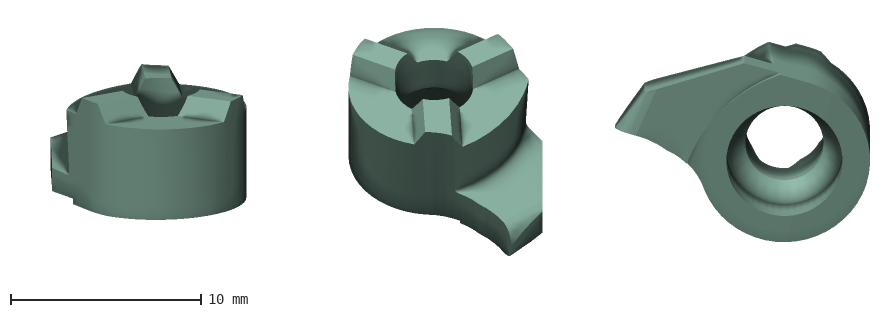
import cadquery as cq
import math

overall_length = 13.5
hub_diameter = 9.0
hub_radius = hub_diameter / 2
bore_radius = 2.05
recess_radius = 3.05
recess_depth = 2.0
seat_height = recess_radius - bore_radius
shoulder_z = 5.0
tooth_height = 1.0
crown_z = shoulder_z + tooth_height

tooth_count = 3
first_tooth_angle = 30
tooth_base_width = 2.52
tooth_top_width = 1.39

relief_start_x = 1.35
relief_rise = 0.08

flat_end_x = -3.52
tip_heel = (-8.11, -1.54)
tip_point = (hub_radius - overall_length, 0.97)
rake_mid = (-7.38, 0.84)
rake_end = (-6.13, 1.13)
neck_mid = (-4.75, 1.63)
neck_angle = 142

arm_center_z = 0.89
arm_back_y = 1.89
arm_front_y = -4.65
back_nose_radius = 1.16
front_nose_radius = 0.72
back_nose_x = -8.03
front_nose_x = -7.22
flank_taper = 0.025

wall_lean = 4.0
upper_wall = [(-4.65, 0.68), (-3.62, -2.5), (-1.65, -4.65)]
wall_straight_y = 5.4
lower_wall = [(-4.9, 1.75), (-3.95, -1.75), (-1.57, -4.51)]
wall_fillet = 0.16
foot_box_low = (-4.86, -2.7, arm_center_z)
foot_box_high = (-2.7, 0, 2.16)

split_x = rake_end[0]

clearance = 13.5


def plan_outline(height):
    """Prism of the complete plan shape, standing on z = 0."""
    angle = math.radians(neck_angle)
    neck_start = (hub_radius * math.cos(angle), hub_radius * math.sin(angle))
    return (
        cq.Workplane("XY")
        .moveTo(*tip_point)
        .lineTo(*tip_heel)
        .lineTo(flat_end_x, -hub_radius)
        .lineTo(0, -hub_radius)
        .threePointArc((hub_radius, 0), neck_start)
        .threePointArc(neck_mid, rake_end)
        .threePointArc(rake_mid, tip_point)
        .close()
        .extrude(height)
    )


def region_left_of_wall(wall, plane):
    """Tall prism on the -X side of a curved wall, built upward from a plane."""
    start, middle, end = wall
    return (
        cq.Workplane(plane)
        .moveTo(-clearance, wall_straight_y)
        .lineTo(start[0], wall_straight_y)
        .lineTo(*start)
        .threePointArc(middle, end)
        .lineTo(end[0], -clearance)
        .lineTo(-clearance, -clearance)
        .close()
        .extrude(clearance)
    )


def upper_clearance():
    """Space above the arm, leaning with the wall that bounds it."""
    lean = math.radians(wall_lean)
    plane = cq.Plane(
        origin=(0, 0, arm_center_z), xDir=(1, 0, 0), normal=(0, -math.sin(lean), math.cos(lean))
    )
    return region_left_of_wall(upper_wall, plane)


def lower_clearance():
    """Space below the arm, bounded by an upright wall."""
    plane = cq.Plane(origin=(0, 0, arm_center_z - clearance), xDir=(1, 0, 0), normal=(0, 0, 1))
    return region_left_of_wall(lower_wall, plane)


def arm_section(y, nose_x, nose_radius):
    """Closed wire of the arm's round-nosed cross-section at one Y."""
    end_half = nose_radius + flank_taper * nose_x
    top = cq.Vector(nose_x, y, arm_center_z + nose_radius)
    nose = cq.Vector(nose_x - nose_radius, y, arm_center_z)
    bottom = cq.Vector(nose_x, y, arm_center_z - nose_radius)
    bottom_end = cq.Vector(0, y, arm_center_z - end_half)
    top_end = cq.Vector(0, y, arm_center_z + end_half)
    return cq.Wire.assembleEdges([
        cq.Edge.makeThreePointArc(top, nose, bottom),
        cq.Edge.makeLine(bottom, bottom_end),
        cq.Edge.makeLine(bottom_end, top_end),
        cq.Edge.makeLine(top_end, top),
    ])


def arm():
    back = arm_section(arm_back_y, back_nose_x, back_nose_radius)
    front = arm_section(arm_front_y, front_nose_x, front_nose_radius)
    blank = cq.Workplane(obj=cq.Solid.makeLoft([back, front], True))
    outline = plan_outline(crown_z).translate((0, 0, arm_center_z - crown_z / 2))
    below_hub = (
        cq.Workplane("XY")
        .box(2 * clearance, 2 * clearance, clearance, centered=(True, True, False))
        .translate((0, 0, -clearance))
        .cut(lower_clearance())
    )
    return blank.intersect(outline).cut(below_hub)


def tooth(angle):
    """Radial tooth of trapezoid section, starting at the Z axis."""
    half_base = tooth_base_width / 2
    half_top = tooth_top_width / 2
    return (
        cq.Workplane("YZ")
        .polyline([
            (-half_base, shoulder_z),
            (half_base, shoulder_z),
            (half_top, crown_z),
            (-half_top, crown_z),
        ])
        .close()
        .extrude(2 * hub_radius)
        .rotate((0, 0, 0), (0, 0, 1), angle)
    )


def bore():
    """Through hole with a conical seat and a wide recess from below."""
    seat_top = recess_depth + seat_height
    return (
        cq.Workplane("XZ")
        .polyline([
            (0, 0),
            (recess_radius, 0),
            (recess_radius, recess_depth),
            (bore_radius, seat_top),
            (bore_radius, crown_z),
            (0, crown_z),
        ])
        .close()
        .revolve(360, (0, 0), (0, 1))
    )


def underside_relief():
    return (
        cq.Workplane("XZ")
        .polyline([(relief_start_x, 0), (hub_radius, 0), (hub_radius, relief_rise)])
        .close()
        .extrude(clearance, both=True)
    )


def insert_shape():
    """Hub and arm together, before the tip is separated."""
    shape = plan_outline(shoulder_z)
    outline = plan_outline(crown_z)
    for index in range(tooth_count):
        angle = first_tooth_angle + index * 360 / tooth_count
        shape = shape.union(tooth(angle).intersect(outline))
    shape = shape.cut(upper_clearance()).cut(lower_clearance())
    shape = shape.union(arm())
    foot_of_wall = cq.selectors.BoxSelector(foot_box_low, foot_box_high)
    shape = shape.edges(foot_of_wall).fillet(wall_fillet)
    return shape.cut(bore()).cut(underside_relief())


def tip_side():
    return (
        cq.Workplane("XY")
        .box(clearance, 2 * clearance, 2 * clearance)
        .translate((split_x - clearance / 2, 0, 0))
    )


whole_insert = insert_shape()
hub = whole_insert.cut(tip_side())
cutting_tip = whole_insert.intersect(tip_side())

result = cq.Compound.makeCompound([hub.val(), cutting_tip.val()])